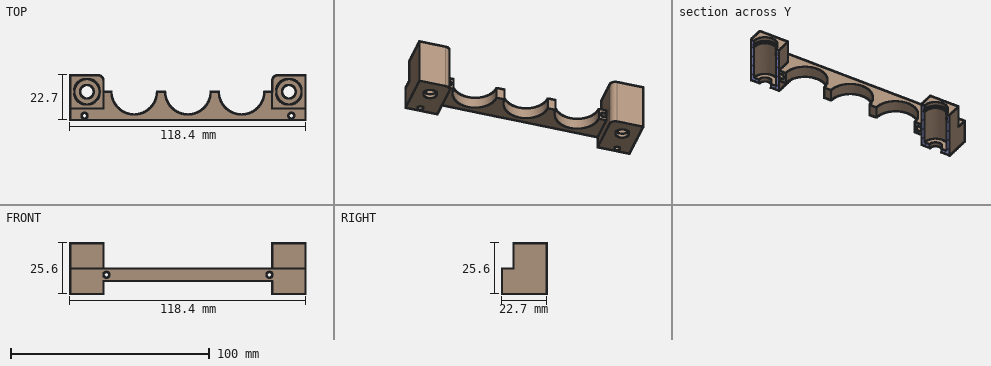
import cadquery as cq

length = 118.36
depth = 22.67
height = 25.64

block_size = 16.82
block_corner_radius = 3.0
foot_height = 12.9
block_front = depth - block_size

bar_thickness = 6.45
bar_depth = 14.3
bar_bottom = foot_height - bar_thickness

scallop_radius = 11.4
scallop_count = 3
scallop_pitch = 27.0

bore_x = length / 2 - block_size / 2
bore_y = depth - block_size / 2
bore_diameter = 12.7
bore_lip = 2.6
bore_floor = bore_lip
groove_diameter = 13.41
groove_width = 1.2
through_diameter = 6.73

screw_diameter = 2.85
vertical_screw_x = length / 2 - 7.2
vertical_screw_y = 2.2
horizontal_screw_x = length / 2 - 18.2
horizontal_screw_z = bar_bottom + bar_thickness / 2


def box(width, box_depth, box_height, x, y, z):
    """Box centred on x, growing back from y and up from z."""
    base = cq.Workplane("XY", origin=(x, y, z))
    return base.box(width, box_depth, box_height, centered=(True, False, False))


def vertical_hole(diameter, x, y, bottom, top=height):
    """Upright round cutter between two heights."""
    return cq.Workplane("XY", origin=(x, y, bottom)).circle(diameter / 2).extrude(top - bottom)


def end_block(side):
    """Tall block with a rounded inner back corner, on a full-depth foot."""
    x = side * bore_x
    inner_edges = "<X" if side > 0 else ">X"
    tower = box(block_size, block_size, height, x, block_front, 0)
    tower = tower.faces(">Y").edges("|Z").edges(inner_edges).fillet(block_corner_radius)
    foot = box(block_size, block_front, foot_height, x, 0, 0)
    return tower.union(foot)


def bar():
    """Flat bar with round cut-outs opening to its back edge."""
    body = box(length - block_size, bar_depth, bar_thickness, 0, 0, bar_bottom)
    for index in range(scallop_count):
        x = (index - (scallop_count - 1) / 2) * scallop_pitch
        body = body.cut(vertical_hole(2 * scallop_radius, x, bar_depth, 0))
    return body


def end_cutters(side):
    """Grooved bore, through hole and screw holes at one end."""
    x = side * bore_x
    cutters = vertical_hole(through_diameter, x, bore_y, 0)
    cutters = cutters.union(vertical_hole(bore_diameter, x, bore_y, bore_floor))
    groove_top = height - bore_lip
    groove = vertical_hole(groove_diameter, x, bore_y, groove_top - groove_width, groove_top)
    cutters = cutters.union(groove)
    cutters = cutters.union(vertical_hole(screw_diameter, side * vertical_screw_x, vertical_screw_y, 0))
    horizontal = (
        cq.Workplane("XZ", origin=(side * horizontal_screw_x, 0, horizontal_screw_z))
        .circle(screw_diameter / 2)
        .extrude(-depth)
    )
    return cutters.union(horizontal)


result = bar()
for end in (-1, 1):
    result = result.union(end_block(end))
for end in (-1, 1):
    result = result.cut(end_cutters(end))